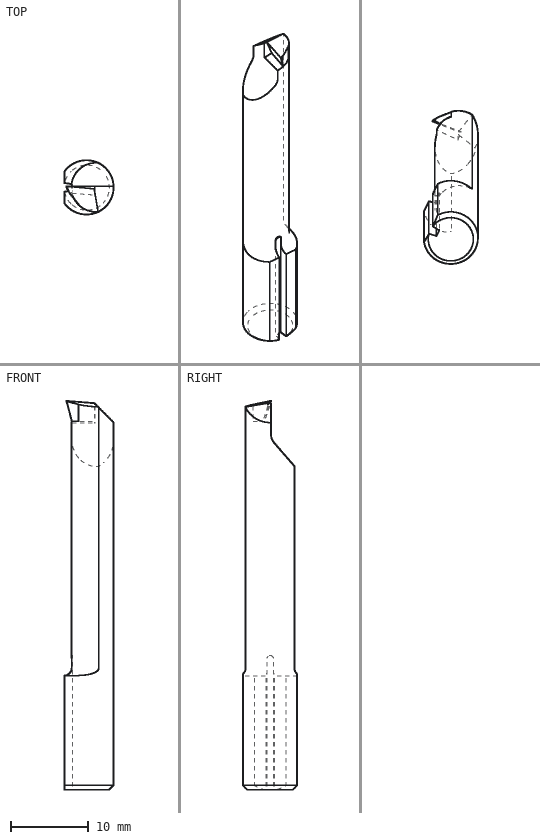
import cadquery as cq
import math

total_length = 50.0
shank_radius = 3.5
flat_offset = 2.85
bottom_chamfer = 0.6

neck_radius = 3.15
neck_center_x = 1.2
shoulder_z = 14.7
shoulder_fillet = 0.95

groove_mouth_width = 1.1
groove_floor_width = 0.85
groove_floor_x = -2.0
runout_floor_x = -1.85
groove_top_z = 17.3

rake_face_y = 0.15
slope_start_z = 41.6
slope_angle = math.radians(41)
slope_radius = 1.6

nose_tip_x = -2.6
nose_tip_edge = (-2.55, -0.1)
nose_root_x = -1.95
nose_root_edge_x = -1.9
nose_bottom_z = 47.35
end_slope_x = -0.065
end_slope_y = 0.16
back_chamfer_top_x = 0.95
back_chamfer_top_z = 49.75
flank_neck_corner = (-1.0, -2.2)
flank_bottom_corner = (-1.65, -1.4)
flank_growth = 1.75

pocket_deep_y = -0.7
pocket_deep_z = 47.35
pocket_mouth_z = 47.15
pocket_end_x = 1.05
pocket_turn_degrees = -4.0

margin = 2.5


def make_shank_envelope():
    """Full-length cylinder with the side flat and the bottom chamfer."""
    cylinder = cq.Workplane("XY").circle(shank_radius).extrude(total_length)
    cylinder = cylinder.faces("<Z").chamfer(bottom_chamfer)
    flat_trim = cq.Workplane("XY").box(
        2 * shank_radius, 4 * shank_radius, total_length, centered=(False, True, False)
    ).translate((-flat_offset, 0, 0))
    return cylinder.intersect(flat_trim)


def make_neck_and_base():
    """Turned profile about the neck axis: wide base, concave fillet, neck."""
    base_radius = 2 * shank_radius
    arc_radial = neck_radius + shoulder_fillet
    arc_z = shoulder_z + shoulder_fillet
    arc_offset = shoulder_fillet * math.sqrt(0.5)
    profile = (
        cq.Workplane("XZ")
        .lineTo(base_radius, 0)
        .lineTo(base_radius, shoulder_z)
        .lineTo(arc_radial, shoulder_z)
        .threePointArc((arc_radial - arc_offset, arc_z - arc_offset), (neck_radius, arc_z))
        .lineTo(neck_radius, total_length)
        .lineTo(0, total_length)
        .close()
    )
    return profile.revolve(360, (0, 0, 0), (0, 1, 0)).translate((neck_center_x, 0, 0))


def make_groove():
    """Tapered groove in the shank plus a round-ended runout in the neck."""
    shank_groove = (
        cq.Workplane("XY")
        .polyline([
            (-flat_offset, -groove_mouth_width / 2),
            (groove_floor_x, -groove_floor_width / 2),
            (groove_floor_x, groove_floor_width / 2),
            (-flat_offset, groove_mouth_width / 2),
        ])
        .close()
        .extrude(shoulder_z + shoulder_fillet)
    )
    end_radius = groove_floor_width / 2
    runout_depth = flat_offset + runout_floor_x
    end_center_z = groove_top_z - end_radius
    runout = cq.Workplane("XY").box(
        runout_depth, groove_floor_width, end_center_z, centered=(False, True, False)
    ).translate((-flat_offset, 0, 0))
    round_end = (
        cq.Workplane("YZ", origin=(-flat_offset, 0, 0))
        .center(0, end_center_z)
        .circle(end_radius)
        .extrude(runout_depth)
    )
    return shank_groove.union(runout).union(round_end)


def make_nose():
    """Side nose tapering downward from the tip into the neck."""
    flank_top_corner = tuple(
        start + flank_growth * (end - start)
        for start, end in zip(flank_neck_corner, flank_bottom_corner)
    )
    core_corner = (0.0, rake_face_y)
    bottom_outline = [
        (nose_root_x, rake_face_y),
        (nose_root_edge_x, pocket_deep_y),
        flank_bottom_corner,
        flank_neck_corner,
        core_corner,
    ]
    top_outline = [
        (nose_tip_x, rake_face_y),
        nose_tip_edge,
        flank_top_corner,
        flank_neck_corner,
        core_corner,
    ]
    return (
        cq.Workplane("XY", origin=(0, 0, nose_bottom_z))
        .polyline(bottom_outline).close()
        .workplane(offset=total_length - nose_bottom_z)
        .polyline(top_outline).close()
        .loft(ruled=True)
    )


def make_flank_trim():
    """Sliver of the round neck lying outside the flat nose flank."""
    neck_corner_x, neck_corner_y = flank_neck_corner
    bottom_corner_x, bottom_corner_y = flank_bottom_corner
    return (
        cq.Workplane("XY", origin=(0, 0, nose_bottom_z))
        .moveTo(neck_corner_x, neck_corner_y)
        .lineTo(bottom_corner_x, bottom_corner_y)
        .lineTo(bottom_corner_x - margin, bottom_corner_y)
        .lineTo(neck_corner_x - margin, neck_corner_y - margin)
        .close()
        .extrude(total_length - nose_bottom_z)
    )


def make_chip_pocket():
    """Wedge under the cutting edge, turned slightly about the nose tip."""
    outer_y = rake_face_y + margin
    wedge = (
        cq.Workplane("YZ", origin=(nose_tip_x - margin, 0, 0))
        .moveTo(rake_face_y, total_length)
        .lineTo(pocket_deep_y, pocket_deep_z)
        .lineTo(rake_face_y, pocket_mouth_z)
        .lineTo(outer_y, pocket_mouth_z)
        .lineTo(outer_y, total_length)
        .close()
        .extrude(pocket_end_x - nose_tip_x + margin)
    )
    return wedge.rotate((nose_tip_x, rake_face_y, 0), (nose_tip_x, rake_face_y, 1), pocket_turn_degrees)


def make_head_cut():
    """Material removed behind the rake face and above the slope."""
    arc_center_y = rake_face_y + slope_radius
    arc_end_y = arc_center_y - slope_radius * math.cos(slope_angle)
    arc_mid_y = arc_center_y - slope_radius * math.cos(slope_angle / 2)
    arc_end_z = slope_start_z + (neck_radius - arc_end_y) / math.tan(slope_angle)
    arc_center_z = arc_end_z + slope_radius * math.sin(slope_angle)
    arc_mid_z = arc_center_z - slope_radius * math.sin(slope_angle / 2)
    outer_y = neck_radius + margin
    outer_z = slope_start_z - margin / math.tan(slope_angle)
    return (
        cq.Workplane("YZ")
        .moveTo(outer_y, outer_z)
        .lineTo(arc_end_y, arc_end_z)
        .threePointArc((arc_mid_y, arc_mid_z), (rake_face_y, arc_center_z))
        .lineTo(rake_face_y, total_length + margin)
        .lineTo(outer_y, total_length + margin)
        .close()
        .extrude(2 * shank_radius, both=True)
    )


def make_end_relief():
    """Block above the inclined end face, which is highest at the nose tip."""
    plane = cq.Plane(
        origin=(nose_tip_x, rake_face_y, total_length),
        xDir=(1, 0, end_slope_x),
        normal=(-end_slope_x, -end_slope_y, 1),
    )
    return cq.Workplane(plane).rect(4 * total_length, 4 * total_length).extrude(margin)


def make_back_chamfer():
    """45 degree wedge removed from the back of the head."""
    reach = shank_radius + margin - back_chamfer_top_x
    return (
        cq.Workplane("XZ")
        .moveTo(back_chamfer_top_x - margin, back_chamfer_top_z + margin)
        .lineTo(back_chamfer_top_x + reach, back_chamfer_top_z - reach)
        .lineTo(back_chamfer_top_x + reach, back_chamfer_top_z + margin)
        .close()
        .extrude(2 * shank_radius, both=True)
    )


result = make_shank_envelope().intersect(make_neck_and_base())
result = result.cut(make_flank_trim()).union(make_nose())
cuts = [
    make_groove(),
    make_head_cut(),
    make_chip_pocket(),
    make_end_relief(),
    make_back_chamfer(),
]
for cut in cuts:
    result = result.cut(cut)